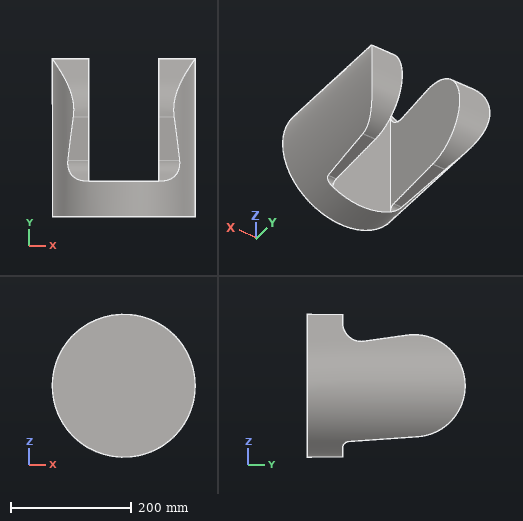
import cadquery as cq
import math

total_length = 263.0
diameter = 238.0
base_thickness = 59.2
slot_width = 115.7
tip_radius = 85.2
upper_taper = 8.0
lower_taper = -4.0
upper_fillet = 30.5
lower_fillet = 10.5

radius = diameter / 2
tip_center_y = total_length - tip_radius


def arm_edge(taper, fillet, side):
    """(y, z) of the tip tangency and of the fillet's start, middle and end.

    The straight edge leaves the round tip tangentially at the taper angle
    and blends into the base face. side is +1 for upper, -1 for lower.
    """
    angle = math.radians(taper)
    fillet_y = base_thickness + fillet
    fillet_z = (tip_radius + fillet - (tip_center_y - fillet_y) * math.sin(angle)) / math.cos(angle)

    def on_fillet(direction):
        y = fillet_y - fillet * math.sin(direction)
        z = fillet_z - fillet * math.cos(direction)
        return (y, side * z)

    start = -angle
    end = math.pi / 2
    tangency = (
        tip_center_y - tip_radius * math.sin(angle),
        side * tip_radius * math.cos(angle),
    )
    return tangency, on_fillet(start), on_fillet((start + end) / 2), on_fillet(end)


def base_disc():
    return cq.Workplane("XZ").circle(radius).extrude(-base_thickness)


def arm_profile():
    upper_tip, upper_start, upper_middle, upper_end = arm_edge(upper_taper, upper_fillet, 1)
    lower_tip, lower_start, lower_middle, lower_end = arm_edge(lower_taper, lower_fillet, -1)
    return (
        cq.Workplane("YZ", origin=(-radius, 0, 0))
        .moveTo(*upper_end)
        .threePointArc(upper_middle, upper_start)
        .lineTo(*upper_tip)
        .threePointArc((total_length, 0), lower_tip)
        .lineTo(*lower_start)
        .threePointArc(lower_middle, lower_end)
        .close()
        .extrude(diameter)
    )


def arms():
    """Two arms cut from the full cylinder, with the slot between them."""
    cylinder = cq.Workplane("XZ").circle(radius).extrude(-total_length)
    slot = (
        cq.Workplane("XY")
        .box(slot_width, total_length, diameter, centered=(True, False, True))
        .translate((0, base_thickness, 0))
    )
    return cylinder.intersect(arm_profile()).cut(slot)


result = base_disc().union(arms())